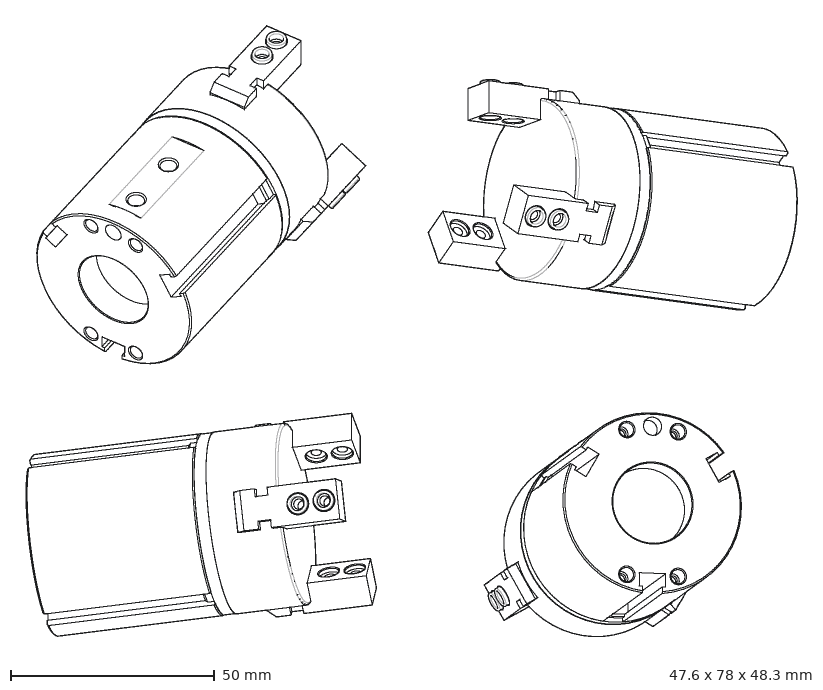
import cadquery as cq
import math


overall_height = 48.3

body_diameter = 45.0
band_diameter = 44.8
barrel_length = 42.2
band_end = 45.25
body_length = 63.2
barrel_chamfer = 0.4
front_rounding = 0.55

bore_diameter = 20.0
bore_depth = 8.0
bore_chamfer = 0.2

mount_hole_x = 6.5
mount_hole_z = 18.0
mount_hole_diameter = 3.5
mount_hole_mouth = 4.1
mount_hole_depth = 6.25
mount_pilot_diameter = 2.5
mount_pilot_depth = 7.8
air_hole_z = 19.1
air_hole_diameter = 4.5
air_hole_depth = 4.7
drill_tip_angle = 118.0

flat_width = 9.3
flat_start = 5.4
flat_end = 34.2
port_positions = (10.45, 25.2)
port_diameter = 4.1
port_mouth = 5.0
port_depth = 4.0

slot_angles = (60, 180, 300)
slot_width = 6.6
slot_floor = 17.5
slot_ceiling = 20.75
slot_end = 39.7
slot_opening = 5.0
slot_step_rise = 0.55

jaw_count = 3
jaw_width = 10.0
jaw_outer = 24.6
jaw_inner = 16.5
jaw_tip = 78.0
jaw_back = 52.0
jaw_chamfer = 1.95
neck_width = 6.1
neck_start = 57.65
neck_end = 60.85

sleeve_tip_distance = 3.4
sleeve_spacing = 6.55
sleeve_diameter = 5.0
sleeve_bore = 3.5
sleeve_sunk = 1.2
seat_chamfer = 0.2
screw_hole_diameter = 2.5

body_radius = body_diameter / 2
flat_height = math.sqrt(body_radius**2 - (flat_width / 2) ** 2)
sleeve_seat = jaw_outer - sleeve_sunk
sleeve_top = overall_height - body_radius
first_sleeve_y = jaw_tip - sleeve_tip_distance
sleeve_positions = (first_sleeve_y, first_sleeve_y - sleeve_spacing)


def box(width, y_start, y_end, z_low, z_high):
    """Box centred on X = 0 between the given Y and Z limits."""
    size = (width, y_end - y_start, z_high - z_low)
    return cq.Workplane("XY").box(*size, centered=(True, False, False)).translate((0, y_start, z_low))


def turned_y(profile):
    """Solid of revolution about Y from (radius, y) points."""
    return cq.Workplane("XY").polyline(profile).close().revolve(360, (0, 0, 0), (0, 1, 0))


def turned_z(profile):
    """Solid of revolution about Z from (radius, z) points."""
    return cq.Workplane("XZ").polyline(profile).close().revolve(360, (0, 0, 0), (0, 1, 0))


def about_axis(shape, angle):
    """Copy of a shape turned about the gripper axis."""
    return shape.rotate((0, 0, 0), (0, 1, 0), angle)


def tip_length(radius):
    """Height of the cone that a drill leaves at the bottom of a hole."""
    return radius / math.tan(math.radians(drill_tip_angle / 2))


def make_mount_hole():
    """Cutter for a chamfered hole along Y that steps down to its pilot drill."""
    radius = mount_hole_diameter / 2
    mouth_radius = mount_hole_mouth / 2
    pilot_radius = mount_pilot_diameter / 2
    return turned_y(
        [
            (0, 0),
            (mouth_radius, 0),
            (radius, mouth_radius - radius),
            (radius, mount_hole_depth),
            (pilot_radius, mount_hole_depth),
            (pilot_radius, mount_pilot_depth),
            (0, mount_pilot_depth + tip_length(pilot_radius)),
        ]
    )


def make_air_hole():
    """Cutter for a plain drilled hole along Y."""
    radius = air_hole_diameter / 2
    return turned_y([(0, 0), (radius, 0), (radius, air_hole_depth), (0, air_hole_depth + tip_length(radius))])


def jaw_plan(z_low, z_high):
    """Jaw outline with a neck, extruded between two heights."""
    block = box(jaw_width, jaw_back, jaw_tip, z_low, z_high)
    neck_band = box(jaw_width, neck_start, neck_end, z_low, z_high)
    neck = box(neck_width, neck_start, neck_end, z_low, z_high)
    return block.cut(neck_band).union(neck)


def make_jaw():
    """Jaw on the +Z side, bevelled at its back."""
    jaw = jaw_plan(jaw_inner, jaw_outer)
    jaw = jaw.faces("<Y").edges(">Z").chamfer(jaw_chamfer)

    screw_radius = screw_hole_diameter / 2
    seat_radius = sleeve_diameter / 2
    mouth_radius = seat_radius + seat_chamfer
    screw_hole = turned_z(
        [
            (0, jaw_inner),
            (mouth_radius, jaw_inner),
            (seat_radius, jaw_inner + seat_chamfer),
            (seat_radius, jaw_inner + sleeve_sunk),
            (screw_radius, jaw_inner + sleeve_sunk),
            (screw_radius, sleeve_seat),
            (seat_radius, sleeve_seat),
            (seat_radius, jaw_outer - seat_chamfer),
            (mouth_radius, jaw_outer),
            (0, jaw_outer),
        ]
    )
    for y in sleeve_positions:
        jaw = jaw.cut(screw_hole.translate((0, y, 0)))
    return jaw


def make_sleeve(y):
    """Ring with fully rounded rims at both ends."""
    bore_radius = sleeve_bore / 2
    outer_radius = sleeve_diameter / 2
    rim_radius = (outer_radius - bore_radius) / 2
    middle_radius = bore_radius + rim_radius
    low = sleeve_seat + rim_radius
    high = sleeve_top - rim_radius
    ring = (
        cq.Workplane("XZ")
        .moveTo(outer_radius, low)
        .lineTo(outer_radius, high)
        .threePointArc((middle_radius, sleeve_top), (bore_radius, high))
        .lineTo(bore_radius, low)
        .threePointArc((middle_radius, sleeve_seat), (outer_radius, low))
        .close()
        .revolve(360, (0, 0, 0), (0, 1, 0))
    )
    return ring.translate((0, y, 0))


def make_t_slot():
    """Cutter for a T-slot on the +Z side, with a sloped step at its front end."""
    channel = box(slot_width, 0, slot_end, slot_floor, slot_ceiling)
    step_floor = slot_ceiling + slot_step_rise
    opening = (
        cq.Workplane("YZ")
        .polyline(
            [
                (0, slot_floor),
                (slot_end, slot_floor),
                (slot_end, slot_ceiling),
                (slot_end + slot_step_rise, step_floor),
                (barrel_length, step_floor),
                (barrel_length, body_radius),
                (0, body_radius),
            ]
        )
        .close()
        .extrude(slot_opening / 2, both=True)
    )
    return channel.union(opening)


def make_body():
    """Turned body with its bore, holes, air port flat, T-slots and jaw guides."""
    band_radius = band_diameter / 2
    body = turned_y(
        [
            (0, 0),
            (body_radius - barrel_chamfer, 0),
            (body_radius, barrel_chamfer),
            (body_radius, barrel_length - barrel_chamfer),
            (body_radius - barrel_chamfer, barrel_length),
            (band_radius, barrel_length),
            (band_radius, band_end),
            (body_radius, band_end),
            (body_radius, body_length),
            (0, body_length),
        ]
    )
    body = body.faces(">Y").edges().fillet(front_rounding)

    bore_radius = bore_diameter / 2
    body = body.cut(
        turned_y(
            [
                (0, 0),
                (bore_radius + bore_chamfer, 0),
                (bore_radius, bore_chamfer),
                (bore_radius, bore_depth),
                (0, bore_depth),
            ]
        )
    )

    mount_hole = make_mount_hole()
    for x in (-mount_hole_x, mount_hole_x):
        for z in (-mount_hole_z, mount_hole_z):
            body = body.cut(mount_hole.translate((x, 0, z)))
    body = body.cut(make_air_hole().translate((0, 0, air_hole_z)))

    body = body.cut(box(body_diameter, flat_start, flat_end, flat_height, body_radius))
    port_radius = port_diameter / 2
    mouth_radius = port_mouth / 2
    port = turned_z(
        [
            (0, flat_height - port_depth),
            (port_radius, flat_height - port_depth),
            (port_radius, flat_height - (mouth_radius - port_radius)),
            (mouth_radius, flat_height),
            (0, flat_height),
        ]
    )
    for y in port_positions:
        body = body.cut(port.translate((0, y, 0)))

    t_slot = make_t_slot()
    for angle in slot_angles:
        body = body.cut(about_axis(t_slot, angle))
    jaw_guide = jaw_plan(jaw_inner, body_radius)
    for index in range(jaw_count):
        body = body.cut(about_axis(jaw_guide, index * 360 / jaw_count))
    return body


gripper_body = make_body()
jaw_at_top = make_jaw()
jaws = []
sleeves = []
for index in range(jaw_count):
    angle = index * 360 / jaw_count
    jaws.append(about_axis(jaw_at_top, angle))
    for y in sleeve_positions:
        sleeves.append(about_axis(make_sleeve(y), angle))

result = cq.Compound.makeCompound(
    [gripper_body.val()] + [jaw.val() for jaw in jaws] + [sleeve.val() for sleeve in sleeves]
)